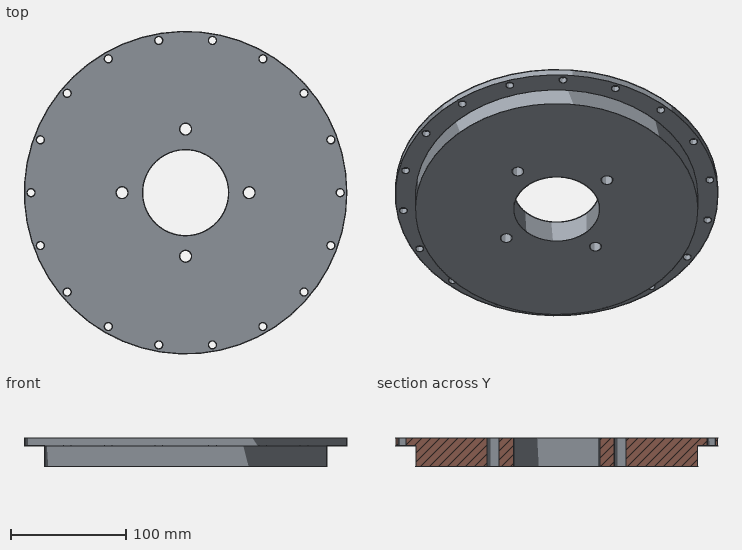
import cadquery as cq

flange_diameter = 280.0
body_diameter = 245.0
total_height = 25.0
flange_thickness = 7.0
bore_diameter = 74.5

rim_hole_count = 18
rim_hole_diameter = 6.7
rim_circle_radius = 134.0

mount_hole_count = 4
mount_hole_diameter = 10.0
mount_circle_radius = 55.2


def hole_ring(count, circle_radius, diameter):
    """Full-height cutters evenly spaced on a circle, the first on the +X axis."""
    return (
        cq.Workplane("XY")
        .polarArray(circle_radius, 0, 360, count)
        .circle(diameter / 2)
        .extrude(total_height)
    )


body = cq.Workplane("XY").circle(body_diameter / 2).extrude(total_height)
flange = (
    cq.Workplane("XY", origin=(0, 0, total_height - flange_thickness))
    .circle(flange_diameter / 2)
    .extrude(flange_thickness)
)
bore = cq.Workplane("XY").circle(bore_diameter / 2).extrude(total_height)

result = (
    body.union(flange)
    .cut(bore)
    .cut(hole_ring(rim_hole_count, rim_circle_radius, rim_hole_diameter))
    .cut(hole_ring(mount_hole_count, mount_circle_radius, mount_hole_diameter))
)